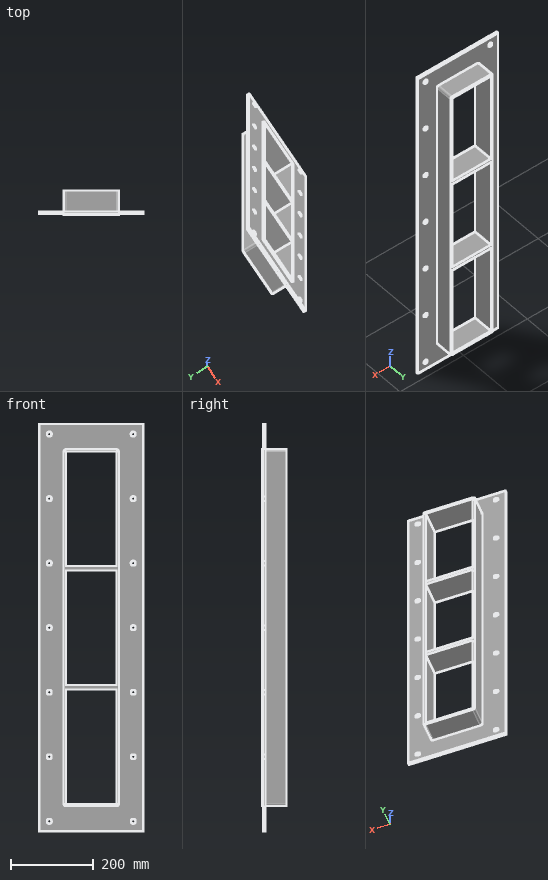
import cadquery as cq

plate_width = 252.0
plate_height = 986
plate_thickness = 6.0

window_count = 3
wall = 6.0
frame_width = 133.0
frame_depth = 60.0
front_lip = 3.0
corner_radius = 6.0
window_width = frame_width - 2 * wall
window_height = 276.0
window_pitch = window_height + 2 * wall
frame_height = window_count * window_pitch

hole_diameter = 11.0
hole_edge_distance = 25.0
holes_per_column = 7
hole_column_spacing = plate_width - 2 * hole_edge_distance
hole_pitch = (plate_height - 2 * hole_edge_distance) / (holes_per_column - 1)


def slab(width, height, depth, front_y):
    """Block centred on X and Z, running toward +Y from front_y."""
    return cq.Workplane("XY").box(width, depth, height).translate((0, front_y + depth / 2, 0))


def make_plate():
    """Flat plate with its mounting holes."""
    holes = (
        cq.Workplane("XZ")
        .rarray(hole_column_spacing, hole_pitch, 2, holes_per_column)
        .circle(hole_diameter / 2)
        .extrude(-plate_thickness)
    )
    return slab(plate_width, plate_height, plate_thickness, 0).cut(holes)


def make_frame():
    """Solid envelope of the frame, with rounded outer corners."""
    frame = slab(frame_width, frame_height, frame_depth, -front_lip)
    return frame.edges("|Y").fillet(corner_radius)


result = make_plate().union(make_frame())

for index in range(window_count):
    window_z = (index - (window_count - 1) / 2) * window_pitch
    window = slab(window_width, window_height, frame_depth, -front_lip)
    result = result.cut(window.translate((0, 0, window_z)))